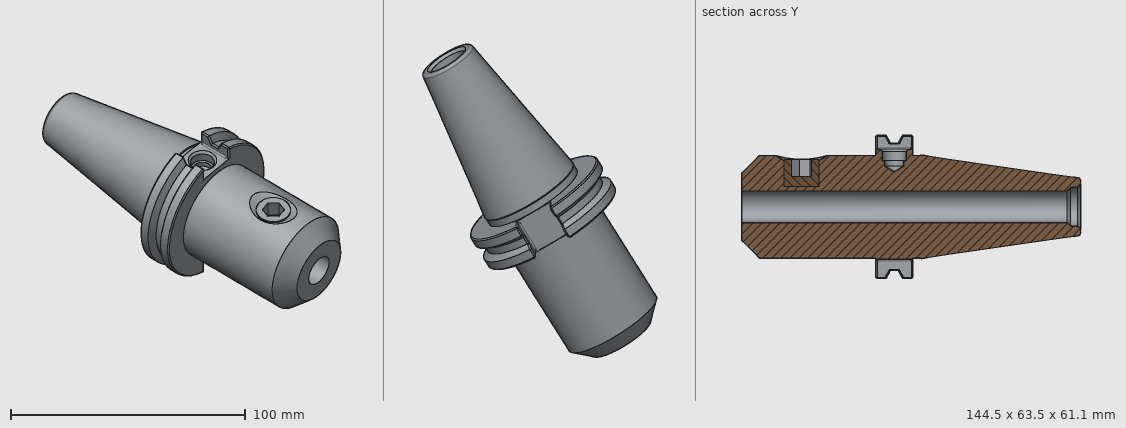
import cadquery as cq
import math

TOTAL_LENGTH = 144.5
GAUGE_X = 68.3
FLANGE_START = 71.5
FLANGE_WIDTH = 15.9
FLANGE_END = FLANGE_START + FLANGE_WIDTH

CUT_CLEARANCE = 1.5

GAUGE_RADIUS = 44.5 / 2
TAPER_RATIO = 7 / 24
TIP_RADIUS = GAUGE_RADIUS - GAUGE_X * TAPER_RATIO / 2
TIP_FILLET = 1.5
NECK_SLOPE_LENGTH = 0.5

FLANGE_RADIUS = 63.5 / 2
FLANGE_CHAMFER = 0.6
GROOVE_CENTER_X = 79.5
GROOVE_RADIUS = 57.2 / 2
GROOVE_FLOOR_WIDTH = 3.3
GROOVE_HALF_ANGLE = 30.0
GROOVE_TOP_WIDTH = GROOVE_FLOOR_WIDTH + 2 * (FLANGE_RADIUS - GROOVE_RADIUS) * math.tan(
    math.radians(GROOVE_HALF_ANGLE)
)

SLOT_WIDTH = 16.0
SLOT_CHAMFER = 0.7
SLOT_FILLET = 0.7
UPPER_SLOT_FLOOR = 24.5
LOWER_SLOT_FLOOR = 22.4

BODY_RADIUS = 43.9 / 2
BODY_CHAMFER = 7.5

BORE_RADIUS = 13.5 / 2
MOUTH_RADIUS = 19.0 / 2
COUNTERBORE_RADIUS = 16.5 / 2
COUNTERBORE_DEPTH = 4.3

DRILL_HALF_ANGLE = 59.0

SEAT_RIM_RADIUS = 12.1 / 2
SEAT_RADIUS = 10.1 / 2
SEAT_DEPTH = 4.9
PILOT_RADIUS = 8.0 / 2
PILOT_DEPTH = 7.2

SCREW_X = 119.0
SCREW_RADIUS = 14.7 / 2
SCREW_TOP = 20.2
SCREW_LENGTH = 11.5
RECESS_BOTTOM = 19.6
SOCKET_ACROSS_FLATS = 8.1
SOCKET_DEPTH = 7.2
SOCKET_ANGLE = 40.0


def revolve_about_x(points):
    """Solid of revolution about the X axis from (x, radius) points."""
    return cq.Workplane("XY").polyline(points).close().revolve(360, (0, 0, 0), (1, 0, 0))


def revolve_about_vertical(points, x):
    """Solid of revolution about the vertical line at x from (radius, z) points."""
    profile = cq.Workplane("XZ", origin=(x, 0, 0)).polyline(points).close()
    return profile.revolve(360, (0, 0, 0), (0, 1, 0))


def zone_of_heights(start, end):
    """Select what has its center between two heights."""
    reach = TOTAL_LENGTH + CUT_CLEARANCE
    return cq.selectors.BoxSelector((-reach, -reach, start), (reach, reach, end))


def make_core():
    """Taper, neck and nose as one turned shape with a rounded small end."""
    taper_end = GAUGE_X - NECK_SLOPE_LENGTH
    taper_end_radius = GAUGE_RADIUS - NECK_SLOPE_LENGTH * TAPER_RATIO / 2
    core = revolve_about_x([
        (0, 0),
        (0, TIP_RADIUS),
        (taper_end, taper_end_radius),
        (GAUGE_X, BODY_RADIUS),
        (TOTAL_LENGTH - BODY_CHAMFER, BODY_RADIUS),
        (TOTAL_LENGTH, BODY_RADIUS - BODY_CHAMFER),
        (TOTAL_LENGTH, 0),
    ])
    return core.faces("<X").edges().fillet(TIP_FILLET)


def make_flange():
    """Grooved flange with its two drive slots."""
    rim_radius = FLANGE_RADIUS - FLANGE_CHAMFER
    flange = revolve_about_x([
        (FLANGE_START, 0),
        (FLANGE_START, rim_radius),
        (FLANGE_START + FLANGE_CHAMFER, FLANGE_RADIUS),
        (GROOVE_CENTER_X - GROOVE_TOP_WIDTH / 2, FLANGE_RADIUS),
        (GROOVE_CENTER_X - GROOVE_FLOOR_WIDTH / 2, GROOVE_RADIUS),
        (GROOVE_CENTER_X + GROOVE_FLOOR_WIDTH / 2, GROOVE_RADIUS),
        (GROOVE_CENTER_X + GROOVE_TOP_WIDTH / 2, FLANGE_RADIUS),
        (FLANGE_END - FLANGE_CHAMFER, FLANGE_RADIUS),
        (FLANGE_END, rim_radius),
        (FLANGE_END, 0),
    ])
    for side, floor in ((1, UPPER_SLOT_FLOOR), (-1, LOWER_SLOT_FLOOR)):
        flange = cut_slot(flange, side, floor)
    return flange


def cut_slot(flange, side, floor):
    """Cut one drive slot, chamfer the free edges of its walls and round its floor corners."""
    floor_z = side * floor
    slot = (
        cq.Workplane("XY", origin=(FLANGE_START, 0, floor_z))
        .rect(FLANGE_WIDTH, SLOT_WIDTH, centered=(False, True))
        .extrude(side * FLANGE_RADIUS)
    )
    flange = flange.cut(slot)
    above_floor = zone_of_heights(floor_z + side * SLOT_FILLET, side * FLANGE_RADIUS)
    near_floor = zone_of_heights(floor_z - SLOT_FILLET, floor_z + SLOT_FILLET)
    free_edges = flange.faces("|Y").faces(above_floor).edges(above_floor)
    flange = free_edges.chamfer(SLOT_CHAMFER)
    return flange.edges("|X").edges(near_floor).fillet(SLOT_FILLET)


def make_bore():
    """Through bore with a countersunk counterbore at the small end."""
    mouth_depth = MOUTH_RADIUS - COUNTERBORE_RADIUS
    bore_start = COUNTERBORE_DEPTH + COUNTERBORE_RADIUS - BORE_RADIUS
    return revolve_about_x([
        (0, 0),
        (0, MOUTH_RADIUS),
        (mouth_depth, COUNTERBORE_RADIUS),
        (COUNTERBORE_DEPTH, COUNTERBORE_RADIUS),
        (bore_start, BORE_RADIUS),
        (TOTAL_LENGTH, BORE_RADIUS),
        (TOTAL_LENGTH, 0),
    ])


def make_slot_hole():
    """Countersunk, stepped blind hole with a drill point."""
    top = UPPER_SLOT_FLOOR
    pilot_end = top - PILOT_DEPTH
    tip = pilot_end - PILOT_RADIUS / math.tan(math.radians(DRILL_HALF_ANGLE))
    return revolve_about_vertical([
        (0, top),
        (SEAT_RIM_RADIUS, top),
        (SEAT_RADIUS, top - (SEAT_RIM_RADIUS - SEAT_RADIUS)),
        (SEAT_RADIUS, top - SEAT_DEPTH),
        (PILOT_RADIUS, top - SEAT_DEPTH),
        (PILOT_RADIUS, pilot_end),
        (0, tip),
    ], GROOVE_CENTER_X)


def make_screw_hole():
    """Hole that the screw fills, opening into a conical recess."""
    recess_top = BODY_RADIUS + CUT_CLEARANCE
    recess_slope = math.tan(math.radians(DRILL_HALF_ANGLE))
    recess_radius = SCREW_RADIUS + (recess_top - RECESS_BOTTOM) * recess_slope
    bottom = SCREW_TOP - SCREW_LENGTH
    return revolve_about_vertical([
        (0, recess_top),
        (recess_radius, recess_top),
        (SCREW_RADIUS, RECESS_BOTTOM),
        (SCREW_RADIUS, bottom),
        (0, bottom),
    ], SCREW_X)


def make_screw():
    """Clamping screw with a hexagon socket."""
    top_plane = cq.Workplane("XY", origin=(SCREW_X, 0, SCREW_TOP))
    socket_diameter = SOCKET_ACROSS_FLATS / math.cos(math.radians(30))
    screw = top_plane.circle(SCREW_RADIUS).extrude(-SCREW_LENGTH)
    socket_plane = top_plane.transformed(rotate=(0, 0, SOCKET_ANGLE))
    socket = socket_plane.polygon(6, socket_diameter).extrude(-SOCKET_DEPTH)
    return screw.cut(socket)


holder = make_core().union(make_flange())
holder = holder.cut(make_bore()).cut(make_slot_hole()).cut(make_screw_hole())
screw = make_screw()

result = cq.Compound.makeCompound([holder.val(), screw.val()])